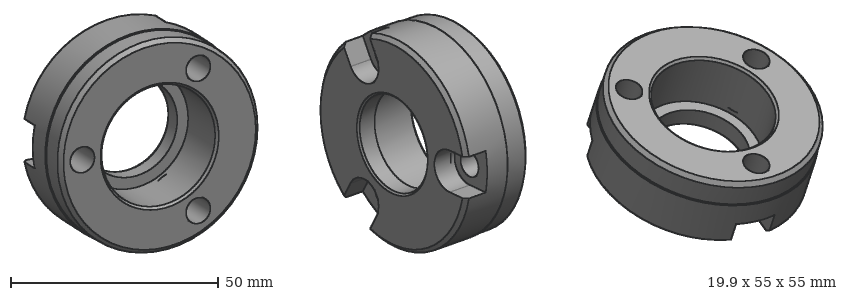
import cadquery as cq

total_width = 19.94
body_radius = 27.5
body_width = 12.94
collar_radius = 27.25
edge_chamfer = 1.1
step_chamfer = body_radius - collar_radius

screw_count = 3
screw_circle_radius = 21.0
screw_hole_diameter = 6.6
slot_width = 11.0
slot_depth = 6.44

bore_radius = 12.5
bore_chamfer = 0.5
bore_width = 5.24
slot_wall = 0.05
counterbore_radius = screw_circle_radius - slot_width / 2 - slot_wall
counterbore_chamfer = 0.65


def ring():
    """Revolve the half section, drawn with x along the axis and y as the radius."""
    section = (
        cq.Workplane("XY")
        .moveTo(0, bore_radius + bore_chamfer)
        .lineTo(0, body_radius - edge_chamfer)
        .lineTo(edge_chamfer, body_radius)
        .lineTo(body_width, body_radius)
        .lineTo(body_width + step_chamfer, collar_radius)
        .lineTo(total_width - edge_chamfer, collar_radius)
        .lineTo(total_width, collar_radius - edge_chamfer)
        .lineTo(total_width, counterbore_radius + counterbore_chamfer)
        .lineTo(total_width - counterbore_chamfer, counterbore_radius)
        .lineTo(bore_width, counterbore_radius)
        .lineTo(bore_width, bore_radius)
        .lineTo(bore_chamfer, bore_radius)
        .close()
    )
    return section.revolve(360, (0, 0, 0), (1, 0, 0))


def screw_cut():
    """Through hole and round-ended slot, open to the rim on the -Y side."""
    face = cq.Workplane("YZ").center(-screw_circle_radius, 0)
    hole = face.circle(screw_hole_diameter / 2).extrude(total_width)
    round_end = face.circle(slot_width / 2).extrude(slot_depth)
    straight_length = slot_width
    straight = (
        cq.Workplane("YZ")
        .center(-screw_circle_radius - straight_length / 2, 0)
        .rect(straight_length, slot_width)
        .extrude(slot_depth)
    )
    return hole.union(round_end).union(straight)


result = ring()
for index in range(screw_count):
    angle = index * 360 / screw_count
    result = result.cut(screw_cut().rotate((0, 0, 0), (1, 0, 0), angle))